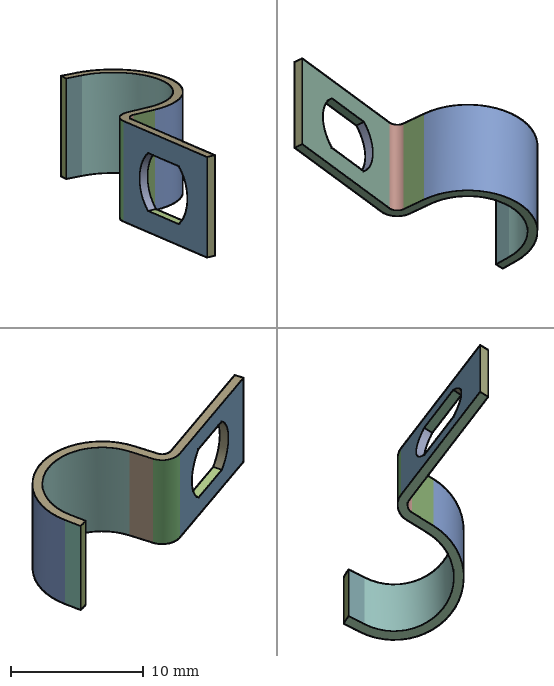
import cadquery as cq
import math

thickness = 0.75
strip_width = 8.0
loop_inner_radius = 4.5
bend_inner_radius = 0.75
loop_drop = 3.5
tab_end_x = 16.5
lip_angle = 5.0
lip_length = 1.39
hole_diameter = 6.0
hole_height = 4.6
hole_end_distance = 5.5

loop_outer_radius = loop_inner_radius + thickness
bend_outer_radius = bend_inner_radius + thickness
tab_outer_y = -loop_drop
tab_inner_y = tab_outer_y + thickness
bend_x = loop_outer_radius + bend_inner_radius
bend_y = tab_inner_y + bend_inner_radius
hole_x = tab_end_x - hole_end_distance
lip_start_angle = 180.0 - lip_angle


def polar(radius, angle, center=(0.0, 0.0)):
    """Point at the given radius and angle (degrees) around a centre."""
    a = math.radians(angle)
    return (center[0] + radius * math.cos(a), center[1] + radius * math.sin(a))


def lip_end(radius):
    """Free end of the lip, which leaves the loop along its tangent."""
    return polar(lip_length, lip_start_angle + 90.0, polar(radius, lip_start_angle))


def make_strip():
    """Bent strip: lip, loop, leg, bend and flat mounting tab."""
    bend_center = (bend_x, bend_y)
    bend_middle_angle = 225.0
    loop_middle_angle = lip_start_angle / 2
    profile = (
        cq.Workplane("XY")
        .workplane(offset=-strip_width / 2)
        .moveTo(*lip_end(loop_outer_radius))
        .lineTo(*polar(loop_outer_radius, lip_start_angle))
        .threePointArc(polar(loop_outer_radius, loop_middle_angle), (loop_outer_radius, 0))
        .lineTo(loop_outer_radius, bend_y)
        .threePointArc(polar(bend_inner_radius, bend_middle_angle, bend_center), (bend_x, tab_inner_y))
        .lineTo(tab_end_x, tab_inner_y)
        .lineTo(tab_end_x, tab_outer_y)
        .lineTo(bend_x, tab_outer_y)
        .threePointArc(polar(bend_outer_radius, bend_middle_angle, bend_center), (loop_inner_radius, bend_y))
        .lineTo(loop_inner_radius, 0)
        .threePointArc(polar(loop_inner_radius, loop_middle_angle), polar(loop_inner_radius, lip_start_angle))
        .lineTo(*lip_end(loop_inner_radius))
        .close()
    )
    return profile.extrude(strip_width)


def make_hole_cutter():
    """Round hole with flats above and below, running through the tab along Y."""
    tab_plane = cq.Workplane("XZ", origin=(hole_x, tab_inner_y, 0))
    cylinder = tab_plane.circle(hole_diameter / 2).extrude(thickness)
    flats = tab_plane.rect(hole_diameter, hole_height).extrude(thickness)
    return cylinder.intersect(flats)


result = make_strip().cut(make_hole_cutter())